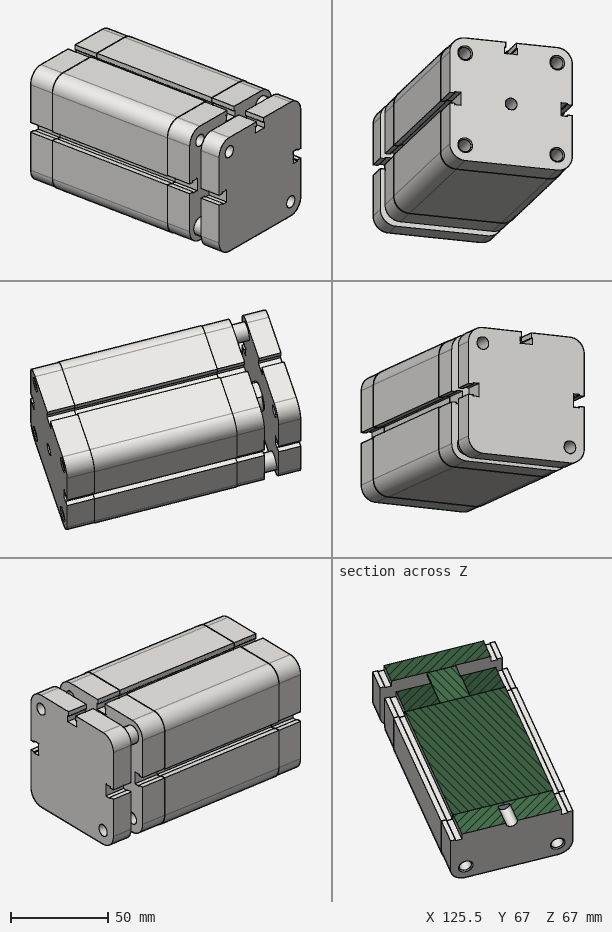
import cadquery as cq

total_length = 125.5
cap_length = 14.7
barrel_length = 76.5
plate_gap = 7.7

cap_width = 66.5
barrel_width = 67.0
corner_pitch = 50.0

slot_mouth_width = 5.6
slot_undercut_width = 7.0
slot_lip_height = 2.8
slot_depth = 6.1
slot_angles = (-90, 0, 90)

mounting_hole_diameter = 6.7
mounting_chamfer = 0.6
chamfer_angle = 45
centre_hole_diameter = 6.3
centre_hole_depth = 12.5

rod_diameter = 16.0
rod_across_flats = 13.0
rod_collar_length = 1.4
rod_chamfer = 0.6
guide_diameter = 10.0

barrel_start = cap_length
front_cap_start = barrel_start + barrel_length
front_cap_end = front_cap_start + cap_length
plate_start = front_cap_end + plate_gap
plate_thickness = total_length - plate_start
barrel_step = (barrel_width - cap_width) / 2

half_pitch = corner_pitch / 2
guide_corners = [(half_pitch, half_pitch), (-half_pitch, -half_pitch)]
through_corners = [(-half_pitch, half_pitch), (half_pitch, -half_pitch)]
all_corners = guide_corners + through_corners


def yz_plane(x):
    """Sketch plane at a given X, with local axes along Y and Z."""
    return cq.Workplane("YZ", origin=(x, 0, 0))


def cylinders(x, length, diameter, centres):
    """Cylinders along +X starting at the given X."""
    return yz_plane(x).pushPoints(centres).circle(diameter / 2).extrude(length)


def slot_cutter(x, length, offset):
    """T-slot along X in the +Z face; a positive offset narrows it and raises its floor."""
    mouth = slot_mouth_width / 2 - offset
    undercut = slot_undercut_width / 2 - offset
    lip = cap_width / 2 - slot_lip_height
    floor = cap_width / 2 - slot_depth + offset
    above = barrel_width
    outline = [
        (-mouth, above),
        (-mouth, lip),
        (-undercut, lip),
        (-undercut, floor),
        (undercut, floor),
        (undercut, lip),
        (mouth, lip),
        (mouth, above),
    ]
    return yz_plane(x).polyline(outline).close().extrude(length)


def slotted_block(x, length, offset=0.0):
    """Rounded square block with T-slots in the +Z, +Y and -Y faces."""
    width = cap_width + 2 * offset
    block = yz_plane(x).rect(width, width).extrude(length)
    block = block.edges("|X").fillet((width - corner_pitch) / 2)
    cutter = slot_cutter(x, length, offset)
    for angle in slot_angles:
        block = block.cut(cutter.rotate((0, 0, 0), (1, 0, 0), angle))
    return block


def mounting_countersinks(x):
    """Conical hole mouths at all four corners, widest at the given X and narrowing along +X."""
    mouth_diameter = mounting_hole_diameter + 2 * mounting_chamfer
    mouths = yz_plane(x).pushPoints(all_corners).circle(mouth_diameter / 2)
    return mouths.extrude(mounting_chamfer, taper=chamfer_angle)


def make_rear_cap():
    """Rear cap with four countersunk mounting holes and a blind centre hole."""
    cap = slotted_block(0, cap_length)
    cap = cap.cut(cylinders(0, cap_length, mounting_hole_diameter, all_corners))
    cap = cap.cut(mounting_countersinks(0))
    return cap.cut(cylinders(0, centre_hole_depth, centre_hole_diameter, [(0, 0)]))


def make_barrel():
    """Barrel, slightly larger than the caps, with the two through mounting holes."""
    barrel = slotted_block(barrel_start, barrel_length, barrel_step)
    return barrel.cut(cylinders(barrel_start, barrel_length, mounting_hole_diameter, through_corners))


def make_front_cap():
    """Front cap with mounting holes and bores for the guide rods and piston rod."""
    cap = slotted_block(front_cap_start, cap_length)
    cap = cap.cut(cylinders(front_cap_start, cap_length, mounting_hole_diameter, through_corners))
    cap = cap.cut(cylinders(front_cap_start, cap_length, guide_diameter, guide_corners))
    return cap.cut(cylinders(front_cap_start, cap_length, rod_diameter, [(0, 0)]))


def make_piston_rod():
    """Round rod through the front cap with wrench flats facing +Z and -Z, ending at the plate."""
    rod = cylinders(front_cap_start, plate_start - front_cap_start, rod_diameter, [(0, 0)])
    rod = rod.faces(">X").chamfer(rod_chamfer)
    flats_start = front_cap_end + rod_collar_length
    flats_length = plate_start - flats_start
    surround = yz_plane(flats_start).rect(2 * rod_diameter, 2 * rod_diameter).extrude(flats_length)
    kept_core = yz_plane(flats_start).rect(2 * rod_diameter, rod_across_flats).extrude(flats_length)
    return rod.cut(surround.cut(kept_core))


def make_guide_plate():
    """End plate with its two guide rods, which run in the front cap."""
    plate = slotted_block(plate_start, plate_thickness)
    plate = plate.cut(cylinders(plate_start, plate_thickness, mounting_hole_diameter, through_corners))
    guide_length = plate_start - front_cap_start
    return plate.union(cylinders(front_cap_start, guide_length, guide_diameter, guide_corners))


rear_cap = make_rear_cap()
barrel = make_barrel()
front_cap = make_front_cap()
piston_rod = make_piston_rod()
guide_plate = make_guide_plate()

result = cq.Compound.makeCompound(
    [
        rear_cap.val(),
        barrel.val(),
        front_cap.val(),
        piston_rod.val(),
        guide_plate.val(),
    ]
)